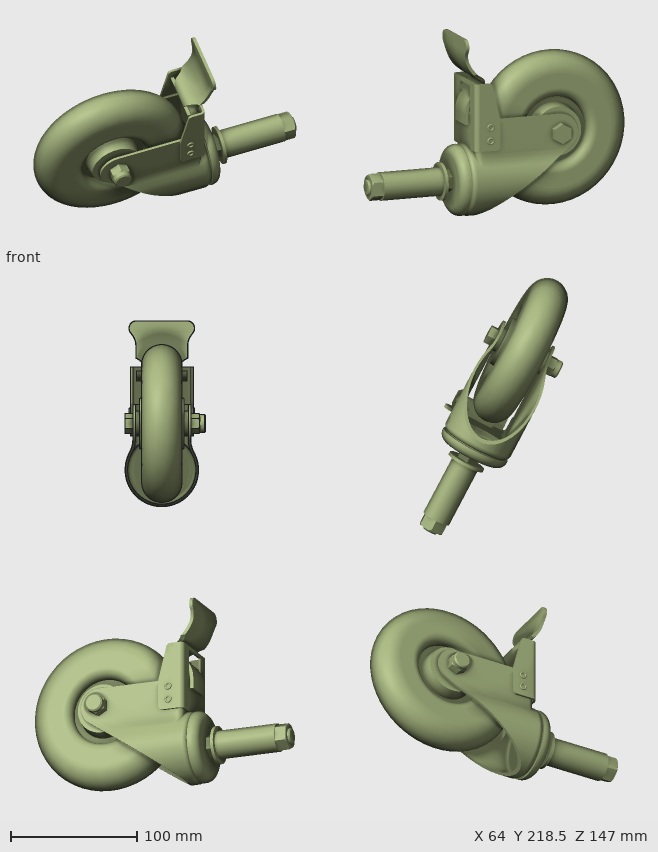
import cadquery as cq
import math


sheet = 2.0
fuse_depth = 0.7
cut_margin = 2.2

wheel_radius = 62.5
tire_half_width = 16.0
recess_radius = 26.7
recess_edge_radius = 7.6
recess_floor_x = 7.6
hub_half_width = 17.7
hub_face_radius = 19.9
hub_base_radius = 21.8

axle_hex_flats = 14.0
bolt_head_height = 6.3
axle_nut_height = 7.5
axle_end_x = 34.7
axle_end_radius = 7.2
axle_end_chamfer = 1.0
washer_radius = 10.0

fork_inner_x = 21.0
fork_outer_x = fork_inner_x + sheet
fork_arm_radius = 15.0
flare_start_z = -13.1
fork_back_y = 70.8
fork_bend_radius = 4.5

swivel_z = -36.7
crown_radius = 29.0
crown_back_y = 77.0
crown_corner_y = 68.8
ring_radius = 28.6
ring_front_y = 77.3
ring_back_y = 85.7
ring_round = 7.0
ring_neck_radius = 26.2

neck_hex_flats = 16.2
flange_front_y = 91.8
flange_back_y = 94.2
flange_radius = 15.3
sleeve_back_y = 144.6
sleeve_radius = 11.4
stem_nut_flats = 19.0
stem_nut_back_y = 154.0
nut_chamfer = 1.0
stud_end_y = 156.0
stud_radius = 6.3
stud_chamfer = 0.9

bracket_back_y = fork_back_y + sheet
bracket_outer_x = fork_outer_x + sheet
bracket_bend_radius = 4.0
bracket_top_z = 44.8
bracket_bottom_z = -9.8
bracket_front_y = 51.5
bracket_top_front_y = 59.0
bracket_slope_end_z = 14.9
bracket_corner_radius = 3.0
window_half_width = 12.5
window_bottom_z = 20.0
window_top_z = 42.0

rivet_y = 59.9
rivet_heights = (9.2, -1.7)
rivet_radius = 3.0
rivet_head_height = 1.0
rivet_round = 0.7
rivet_hole_radius = 1.5

lever_sheet = 2.6
pedal_y = 79.8
pedal_top_z = 81.3
pedal_bend_z = 72.5
pedal_bend_radius = 28.8
curl_y = 66.2
curl_radius = 5.7
tail_y = 74.5
tail_bend_radius = 19.7
tail_end_z = 9.8
pedal_half_width = 26.0
pedal_corner_radius = 6.0
waist_half_width = 20.5
waist_z = 61.2
neck_start_z = 51.8
neck_middle = (14.5, 47.2)
neck_half_width = 11.0
bar_half_width = 19.9
bar_bottom_z = 33.6


def along_y(outline, start_y, end_y):
    """Extrude an XZ outline between two Y positions."""
    return outline.extrude(start_y - end_y)


def xz_plane(y, z=0.0):
    return cq.Workplane("XZ", origin=(0, y, z))


def on_arc(center_across, center_z, radius, angle):
    """Point on a circle, measured from the horizontal towards +Z."""
    return (center_across + radius * math.cos(angle), center_z + radius * math.sin(angle))


def disc_y(radius, start_y, end_y):
    """Disc or shaft on the swivel axis."""
    return along_y(xz_plane(start_y, swivel_z).circle(radius), start_y, end_y)


def hex_y(flats, start_y, end_y):
    """Hexagonal prism on the swivel axis with corners up and down."""
    outline = xz_plane(start_y, swivel_z).transformed(rotate=(0, 0, 90))
    return along_y(outline.polygon(6, flats / math.cos(math.pi / 6)), start_y, end_y)


def disc_x(radius, start_x, end_x):
    """Disc or shaft on the wheel axle."""
    return cq.Workplane("YZ", origin=(start_x, 0, 0)).circle(radius).extrude(end_x - start_x)


def hex_x(flats, start_x, end_x):
    """Hexagonal prism on the wheel axle with corners up and down."""
    outline = cq.Workplane("YZ", origin=(start_x, 0, 0)).transformed(rotate=(0, 0, 90))
    return outline.polygon(6, flats / math.cos(math.pi / 6)).extrude(end_x - start_x)


def make_wheel():
    """Tire with a recess around the hub on both sides, turned around the axle."""
    tread_center = wheel_radius - tire_half_width
    recess_arc_x = tire_half_width - recess_edge_radius
    recess_arc_radius = recess_radius + recess_edge_radius
    diagonal = math.sqrt(0.5)
    recess_middle = (
        recess_arc_x + recess_edge_radius * diagonal,
        recess_arc_radius - recess_edge_radius * diagonal,
    )
    section = (
        cq.Workplane("XY")
        .moveTo(-hub_half_width, 0)
        .lineTo(hub_half_width, 0)
        .lineTo(hub_half_width, hub_face_radius)
        .lineTo(recess_floor_x, hub_base_radius)
        .lineTo(recess_floor_x, recess_radius)
        .lineTo(recess_arc_x, recess_radius)
        .threePointArc(recess_middle, (tire_half_width, recess_arc_radius))
        .lineTo(tire_half_width, tread_center)
        .threePointArc((0, wheel_radius), (-tire_half_width, tread_center))
        .lineTo(-tire_half_width, recess_arc_radius)
        .threePointArc((-recess_middle[0], recess_middle[1]), (-recess_arc_x, recess_radius))
        .lineTo(-recess_floor_x, recess_radius)
        .lineTo(-recess_floor_x, hub_base_radius)
        .lineTo(-hub_half_width, hub_face_radius)
        .close()
    )
    return section.revolve(360, (0, 0, 0), (1, 0, 0))


def make_axle():
    """Bolt head, washers, nut and the protruding bolt end."""
    head = hex_x(axle_hex_flats, -fork_outer_x - bolt_head_height, -fork_inner_x)
    nut_end = fork_outer_x + axle_nut_height
    nut = hex_x(axle_hex_flats, fork_inner_x, nut_end)
    nut = nut.intersect(
        disc_x(axle_hex_flats / math.sqrt(3), fork_inner_x, nut_end).faces(">X").chamfer(nut_chamfer)
    )
    end = disc_x(axle_end_radius, nut_end - fuse_depth, axle_end_x)
    end = end.faces(">X").chamfer(axle_end_chamfer)
    washers = disc_x(washer_radius, -fork_inner_x - fuse_depth, fork_inner_x + fuse_depth)
    return head.union(nut).union(end).union(washers)


def crown_shell(inset):
    """Fork outline set in by the given amount: a neck that flares into a round crown."""
    half_width = fork_outer_x - inset
    radius = crown_radius - inset
    bend = fork_bend_radius - inset
    back_y = fork_back_y - inset
    top_z = fork_arm_radius + inset
    neck_height = flare_start_z - swivel_z
    flare = (half_width**2 + neck_height**2 - radius**2) / (2 * (radius - half_width))
    flare_x = half_width + flare
    turn = math.atan2(neck_height, flare_x)
    touch_x = radius * math.cos(turn)
    touch_z = swivel_z + radius * math.sin(turn)
    middle_x = flare_x - flare * math.cos(turn / 2)
    middle_z = flare_start_z - flare * math.sin(turn / 2)
    outline = (
        xz_plane(-crown_radius)
        .moveTo(-half_width, top_z)
        .lineTo(half_width, top_z)
        .lineTo(half_width, flare_start_z)
        .threePointArc((middle_x, middle_z), (touch_x, touch_z))
        .threePointArc((0, swivel_z - radius), (-touch_x, touch_z))
        .threePointArc((-middle_x, middle_z), (-half_width, flare_start_z))
        .close()
    )
    body = along_y(outline, -crown_radius, back_y)
    body = body.edges(">Y").edges("not >Z").fillet(bend)
    crown = disc_y(radius, fork_back_y - fork_bend_radius, crown_back_y - inset)
    return body.union(crown.faces(">Y").edges().fillet(bend))


def fork_side():
    """Side outline of the fork: a level top edge, a round arm end and a sloping lower edge."""
    corner_z = swivel_z - crown_radius
    corner_distance = math.hypot(crown_corner_y, corner_z)
    tangent = math.atan2(corner_z, crown_corner_y) - math.acos(fork_arm_radius / corner_distance)
    middle = (math.pi / 2 + tangent + 2 * math.pi) / 2
    return (
        cq.Workplane("YZ", origin=(-crown_radius - cut_margin, 0, 0))
        .moveTo(crown_back_y + cut_margin, fork_arm_radius)
        .lineTo(0, fork_arm_radius)
        .threePointArc(
            (fork_arm_radius * math.cos(middle), fork_arm_radius * math.sin(middle)),
            (fork_arm_radius * math.cos(tangent), fork_arm_radius * math.sin(tangent)),
        )
        .lineTo(crown_corner_y, corner_z)
        .lineTo(crown_corner_y, corner_z - cut_margin)
        .lineTo(crown_back_y + cut_margin, corner_z - cut_margin)
        .close()
        .extrude(2 * (crown_radius + cut_margin))
    )


def make_fork():
    return crown_shell(0).cut(crown_shell(sheet)).intersect(fork_side())


def make_stem():
    """Swivel ring, hexagonal neck, flange, sleeve, nut and stud end in a row along Y."""
    ring_neck = disc_y(ring_neck_radius, crown_back_y - fuse_depth, ring_front_y)
    ring = disc_y(ring_radius, ring_front_y, ring_back_y).faces(">Y").edges().fillet(ring_round)
    neck = hex_y(neck_hex_flats, ring_back_y - fuse_depth, flange_front_y)
    flange = disc_y(flange_radius, flange_front_y, flange_back_y)
    sleeve = disc_y(sleeve_radius, flange_back_y, sleeve_back_y)
    nut = hex_y(stem_nut_flats, sleeve_back_y, stem_nut_back_y)
    nut_trim = disc_y(stem_nut_flats / math.sqrt(3), sleeve_back_y, stem_nut_back_y)
    nut = nut.intersect(nut_trim.faces(">Y").chamfer(nut_chamfer))
    stud = disc_y(stud_radius, stem_nut_back_y, stud_end_y).faces(">Y").chamfer(stud_chamfer)
    stem = ring_neck
    for piece in (ring, neck, flange, sleeve, nut, stud):
        stem = stem.union(piece)
    return stem


def make_bracket():
    """Channel that wraps the back of the fork, with a window for the brake lever."""
    height = bracket_top_z - bracket_bottom_z
    depth = bracket_back_y - bracket_front_y
    middle_y = (bracket_back_y + bracket_front_y) / 2
    plate = cq.Workplane("XY", origin=(0, middle_y, bracket_bottom_z))
    outer = plate.rect(2 * bracket_outer_x, depth).extrude(height)
    outer = outer.edges("|Z and >Y").fillet(bracket_bend_radius)
    inner = plate.center(0, -sheet).rect(2 * fork_outer_x, depth).extrude(height)
    inner = inner.edges("|Z and >Y").fillet(bracket_bend_radius - sheet)
    side = (
        cq.Workplane("YZ", origin=(-bracket_outer_x, 0, 0))
        .moveTo(bracket_back_y, bracket_bottom_z)
        .lineTo(bracket_front_y, bracket_bottom_z)
        .lineTo(bracket_front_y, bracket_slope_end_z)
        .lineTo(bracket_top_front_y, bracket_top_z)
        .lineTo(bracket_back_y, bracket_top_z)
        .close()
        .extrude(2 * bracket_outer_x)
    )
    for y, z in ((bracket_front_y, bracket_bottom_z), (bracket_top_front_y, bracket_top_z)):
        corner = cq.NearestToPointSelector((0, y, z))
        side = side.edges("|X").edges(corner).fillet(bracket_corner_radius)
    window = cq.Workplane("XY", origin=(0, fork_back_y, window_bottom_z)).rect(
        2 * window_half_width, 2 * fork_bend_radius
    )
    window = window.extrude(window_top_z - window_bottom_z)
    return outer.cut(inner).intersect(side).cut(window)


def make_rivet(side, z):
    """Ring-shaped rivet head with a rounded rim on the left (-1) or right (+1) face of the bracket."""
    head = (
        cq.Workplane("YZ", origin=(bracket_outer_x, rivet_y, z))
        .circle(rivet_radius)
        .circle(rivet_hole_radius)
        .extrude(rivet_head_height)
        .faces(">X")
        .edges()
        .fillet(rivet_round)
    )
    return head if side > 0 else head.mirror("YZ")


def lever_strip():
    """Full-width bent strip: straight pedal, long bend, curl and hooked tail."""
    pedal_bend_y = pedal_y - pedal_bend_radius
    curl_z = pedal_bend_z - math.sqrt(
        (pedal_bend_radius + curl_radius) ** 2 - (curl_y - pedal_bend_y) ** 2
    )
    tail_bend_y = tail_y - tail_bend_radius
    tail_bend_z = curl_z - math.sqrt(
        (tail_bend_radius + curl_radius) ** 2 - (curl_y - tail_bend_y) ** 2
    )
    pedal_turn = math.atan2(curl_z - pedal_bend_z, curl_y - pedal_bend_y)
    curl_start = pedal_turn + math.pi
    curl_end = math.atan2(tail_bend_z - curl_z, tail_bend_y - curl_y) + 2 * math.pi
    tail_turn = curl_end - math.pi

    def edge_line(shift):
        """Points of one face of the strip, moved off the middle line towards the pedal bend."""
        pedal = (pedal_bend_y, pedal_bend_z, pedal_bend_radius - shift)
        curl = (curl_y, curl_z, curl_radius + shift)
        tail = (tail_bend_y, tail_bend_z, tail_bend_radius - shift)
        return [
            (pedal_y - shift, pedal_top_z),
            (pedal_y - shift, pedal_bend_z),
            on_arc(*pedal, pedal_turn / 2),
            on_arc(*pedal, pedal_turn),
            on_arc(*curl, (curl_start + curl_end) / 2),
            on_arc(*curl, curl_end),
            on_arc(*tail, tail_turn / 2),
            (tail_y - shift, tail_bend_z),
            (tail_y - shift, tail_end_z),
        ]

    near = edge_line(lever_sheet / 2)
    far = edge_line(-lever_sheet / 2)[::-1]
    outline = cq.Workplane("YZ", origin=(-pedal_half_width, 0, 0)).moveTo(*near[0])
    for line in (near, far):
        outline = (
            outline.lineTo(*line[1])
            .threePointArc(line[2], line[3])
            .threePointArc(line[4], line[5])
            .threePointArc(line[6], line[7])
            .lineTo(*line[8])
        )
        if line is near:
            outline = outline.lineTo(*far[0])
    return outline.close().extrude(2 * pedal_half_width), curl_z


def lever_outline(bar_top_z):
    """Front shape of the lever: pedal with hollow flanks, neck, cross bar and tail."""
    corner_x = pedal_half_width - pedal_corner_radius
    corner_z = pedal_top_z - pedal_corner_radius
    step_x = waist_half_width - corner_x
    step_z = corner_z - waist_z
    flank_radius = (step_x**2 + step_z**2 - pedal_corner_radius**2) / (
        2 * (pedal_corner_radius - step_x)
    )
    flank_x = waist_half_width + flank_radius
    turn = math.atan2(step_z, flank_x - corner_x)
    corner_middle = on_arc(corner_x, corner_z, pedal_corner_radius, (math.pi / 2 - turn) / 2)
    corner_end = on_arc(corner_x, corner_z, pedal_corner_radius, -turn)
    flank_middle = on_arc(flank_x, waist_z, flank_radius, math.pi - turn / 2)
    half = (
        xz_plane(0)
        .moveTo(0, tail_end_z)
        .lineTo(0, pedal_top_z)
        .lineTo(corner_x, pedal_top_z)
        .threePointArc(corner_middle, corner_end)
        .threePointArc(flank_middle, (waist_half_width, waist_z))
        .lineTo(waist_half_width, neck_start_z)
        .threePointArc(neck_middle, (neck_half_width, bar_top_z))
        .lineTo(bar_half_width, bar_top_z)
        .lineTo(bar_half_width, bar_bottom_z)
        .lineTo(neck_half_width, bar_bottom_z)
        .lineTo(neck_half_width, tail_end_z)
        .close()
    )
    half = along_y(half, 0, pedal_y + lever_sheet)
    return half.union(half.mirror("YZ"))


def make_brake_lever():
    strip, curl_z = lever_strip()
    return strip.intersect(lever_outline(curl_z))


def make_caster():
    """Everything that is joined through the fork: stem, fork, bracket, axle and wheel."""
    caster = make_fork().union(make_stem()).union(make_bracket())
    for z in rivet_heights:
        for side in (-1, 1):
            caster = caster.union(make_rivet(side, z))
    return caster.union(make_axle()).union(make_wheel())


caster = make_caster()
brake_lever = make_brake_lever()

result = cq.Compound.makeCompound([caster.val(), brake_lever.val()])